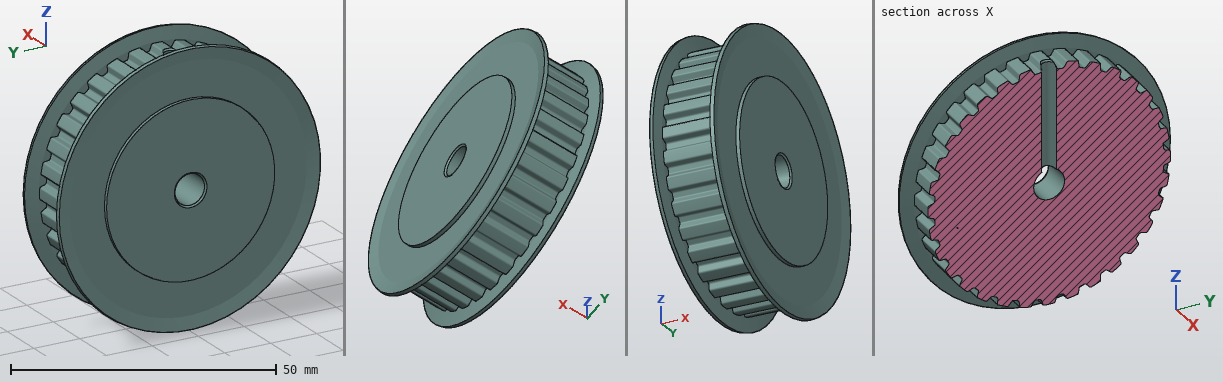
import cadquery as cq
import math

flange_diameter = 57.15
overall_width = 14.2
groove_face_width = 11.0

tooth_count = 32
tooth_tip_radius = 25.6
groove_depth = 1.4
groove_floor_width = 1.3
groove_flank_angle = 25.0
groove_floor_fillet = 0.4
tooth_tip_fillet = 0.4
tip_circle_tolerance = 0.005

flange_thickness = 0.8
flange_bend_radius = 25.8
flange_flare = 0.545

hub_radius = 18.3
bore_diameter = 6.4
bore_chamfer = 0.35
screw_diameter = 3.1
screw_chamfer = 0.35

flange_radius = flange_diameter / 2
half_width = overall_width / 2
half_face = groove_face_width / 2
pitch_angle = 360.0 / tooth_count


def x_cylinder(radius, length):
    """Solid cylinder along X, centred on the origin."""
    return cq.Workplane("YZ").circle(radius).extrude(length / 2, both=True)


def tooth_groove():
    """Cutter for one belt groove, centred on +Z, with a rounded floor."""
    floor_z = tooth_tip_radius - groove_depth
    mouth_z = tooth_tip_radius + groove_depth
    half_floor = groove_floor_width / 2
    half_mouth = half_floor + (mouth_z - floor_z) * math.tan(math.radians(groove_flank_angle))
    outline = [
        (-half_floor, floor_z),
        (half_floor, floor_z),
        (half_mouth, mouth_z),
        (-half_mouth, mouth_z),
    ]
    cutter = cq.Workplane("YZ").polyline(outline).close().extrude(half_face, both=True)
    return cutter.edges("|X and <Z").fillet(groove_floor_fillet)


def toothed_rim():
    """Belt face with a tooth land, not a groove, pointing along +Z."""
    rim = x_cylinder(tooth_tip_radius, groove_face_width)
    groove = tooth_groove()
    for index in range(tooth_count):
        angle = (index + 0.5) * pitch_angle
        rim = rim.cut(groove.rotate((0, 0, 0), (1, 0, 0), angle))
    tip_corners = rim.edges("|X").filter(
        lambda edge: math.hypot(edge.Center().y, edge.Center().z) > tooth_tip_radius - tip_circle_tolerance
    )
    return rim.newObject(tip_corners.vals()).fillet(tooth_tip_fillet)


def flange():
    """Flange on the +X side, revolved about the X axis."""
    flare_length = flange_radius - flange_bend_radius
    flare_angle = math.atan2(flange_flare, flare_length)
    inner_x = half_face
    outer_x = half_face + flange_thickness
    rim_inner_x = inner_x + flange_flare
    rim_outer_x = rim_inner_x + flange_thickness * math.cos(flare_angle)
    rim_outer_radius = flange_radius - flange_thickness * math.sin(flare_angle)
    profile = [
        (inner_x, 0),
        (inner_x, flange_bend_radius),
        (rim_inner_x, flange_radius),
        (rim_outer_x, rim_outer_radius),
        (outer_x, flange_bend_radius),
        (outer_x, 0),
    ]
    return cq.Workplane("XY").polyline(profile).close().revolve(360, (0, 0, 0), (1, 0, 0))


def bore():
    """Through bore cutter with a chamfer at each end."""
    radius = bore_diameter / 2
    mouth_radius = radius + bore_chamfer
    profile = [
        (-half_width, 0),
        (-half_width, mouth_radius),
        (-half_width + bore_chamfer, radius),
        (half_width - bore_chamfer, radius),
        (half_width, mouth_radius),
        (half_width, 0),
    ]
    return cq.Workplane("XY").polyline(profile).close().revolve(360, (0, 0, 0), (1, 0, 0))


def set_screw_hole():
    """Radial hole from the +Z tooth land into the bore, chamfered at the land."""
    radius = screw_diameter / 2
    profile = [
        (0, 0),
        (radius, 0),
        (radius, tooth_tip_radius - screw_chamfer),
        (radius + screw_chamfer, tooth_tip_radius),
        (0, tooth_tip_radius),
    ]
    return cq.Workplane("XZ").polyline(profile).close().revolve(360, (0, 0, 0), (0, 1, 0))


right_flange = flange()
left_flange = right_flange.mirror("YZ")
hub = x_cylinder(hub_radius, overall_width)

result = toothed_rim().union(right_flange).union(left_flange).union(hub)
result = result.cut(bore()).cut(set_screw_hole())